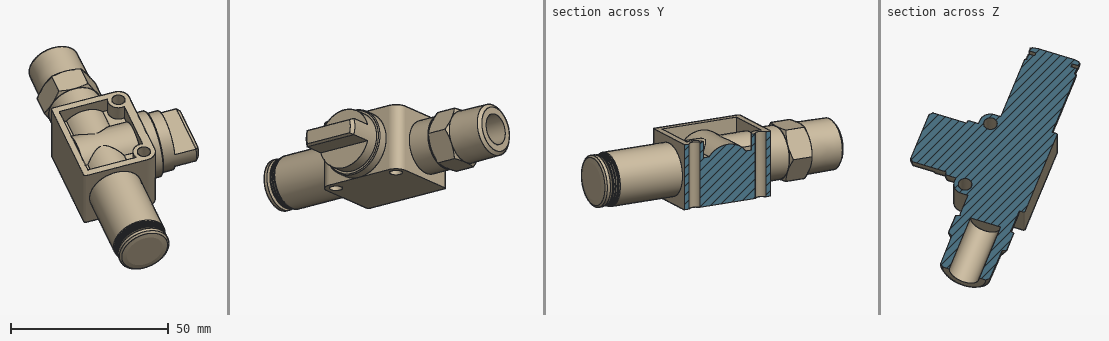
import cadquery as cq
import math


body_length = 31.3
body_height = 21.7
body_back = 14.5
body_front = -10.5
body_depth = body_back - body_front
body_edge_radius = 0.6

hole_diameter = 4.2
hole_x = 12.0
hole_y = 10.9
boss_radius = 3.5
body_corner_radius = body_back - hole_y

pocket_half_length = 13.5
pocket_back = 11.7
pocket_front = -8.5
pocket_floor = 5.6
pocket_depth = body_height / 2 - pocket_floor

passage_diameter = 16.5
stem_diameter = 17.5
stem_front = -7.5
stem_tip_diameter = 14.4

knob_root = 13.05
collar_diameter = body_height
collar_back = 18.1
collar_chamfer = 0.35
knob_diameter = 19.5
knob_shoulder = 22.3
knob_back = 30.45
knob_chamfer = 1.05
blade_thickness = 5.5
blade_chamfer_width = 0.5

half_length = 43.5
tube_diameter = 17.5
tube_end = 38.45
tube_chamfer = 0.3
hex_start = -31.5
hex_end = -23.3
hex_across_flats = 17.05
hex_chamfer_width = 0.7
thread_start_diameter = 16.7
thread_end_diameter = 17.05
thread_nose_diameter = 14.4
thread_chamfer = 1.0
bore_diameter = 10.0

sleeve_diameter = 16.2
sleeve_end = 40.6
rib_diameter = 16.5
rib_width = 0.6
rib_starts = (38.8, 39.7)
neck_diameter = 12.35
ring_start = 41.6
ring_diameter = 16.8
ring_rim_end = 42.7
ring_shoulder_end = 43.2
ring_shoulder_diameter = 15.5
ring_face_diameter = 12.1


def x_cylinder(start, end, diameter):
    return cq.Workplane("YZ", origin=(start, 0, 0)).circle(diameter / 2).extrude(end - start)


def y_cylinder(start, end, diameter):
    return cq.Workplane("XZ", origin=(0, start, 0)).circle(diameter / 2).extrude(start - end)


def x_cone(start, end, start_diameter, end_diameter):
    profile = [(start, 0), (start, start_diameter / 2), (end, end_diameter / 2), (end, 0)]
    return cq.Workplane("XY").polyline(profile).close().revolve(360, (0, 0, 0), (1, 0, 0))


def make_body():
    block = cq.Workplane("XY").box(body_length, body_depth, body_height)
    block = block.translate((0, (body_back + body_front) / 2, 0))
    block = block.edges("|Z and >Y").fillet(body_corner_radius)
    return block.edges("|Z and <Y").fillet(body_edge_radius)


def make_boss(side):
    """Round boss standing on the pocket floor, cut into by the pocket walls."""
    boss = cq.Workplane("XY", origin=(side * hole_x, hole_y, pocket_floor))
    return boss.circle(boss_radius).extrude(pocket_depth)


def make_pocket():
    """Volume removed above the floor, around the bosses and passage walls."""
    pocket = cq.Workplane("XY").box(
        2 * pocket_half_length, pocket_back - pocket_front, pocket_depth, centered=(True, True, False)
    )
    pocket = pocket.translate((0, (pocket_back + pocket_front) / 2, pocket_floor))
    pocket = pocket.cut(x_cylinder(-body_length / 2, body_length / 2, passage_diameter))
    pocket = pocket.cut(y_cylinder(stem_front, body_back, stem_diameter))
    pocket = pocket.cut(y_cylinder(body_front, stem_front, stem_tip_diameter))
    for side in (-1, 1):
        pocket = pocket.cut(make_boss(side))
    return pocket


def make_knob():
    """Collar and round knob with a flat finger blade across the diameter."""
    collar = y_cylinder(0, collar_back, collar_diameter).faces(">Y").chamfer(collar_chamfer)
    base = y_cylinder(0, knob_shoulder, knob_diameter)
    blade = y_cylinder(0, knob_back, knob_diameter).faces(">Y").chamfer(knob_chamfer)
    half_thickness = blade_thickness / 2
    tip_half_thickness = half_thickness - blade_chamfer_width
    outline = [
        (0, -half_thickness),
        (knob_back - knob_chamfer, -half_thickness),
        (knob_back, -tip_half_thickness),
        (knob_back, tip_half_thickness),
        (knob_back - knob_chamfer, half_thickness),
        (0, half_thickness),
    ]
    slab = cq.Workplane("YZ").polyline(outline).close().extrude(knob_diameter / 2, both=True)
    knob = collar.union(base).union(blade.intersect(slab))
    behind = cq.Workplane("XY").box(body_length, knob_back, body_height, centered=(True, False, True))
    return knob.intersect(behind.translate((0, knob_root, 0)))


def make_hexagon():
    """Hexagon with corners on +Y and -Y, chamfered conically at both ends."""
    across_corners = hex_across_flats / math.cos(math.pi / 6)
    hexagon = cq.Workplane("YZ", origin=(hex_start, 0, 0))
    hexagon = hexagon.polygon(6, across_corners).extrude(hex_end - hex_start)
    inner_start = hex_start + hex_chamfer_width
    inner_end = hex_end - hex_chamfer_width
    limit = x_cone(hex_start, inner_start, hex_across_flats, across_corners)
    limit = limit.union(x_cylinder(inner_start, inner_end, across_corners))
    limit = limit.union(x_cone(inner_end, hex_end, across_corners, hex_across_flats))
    return hexagon.intersect(limit)


def make_threaded_end():
    chamfer_end = -half_length + thread_chamfer
    nose = x_cone(-half_length, chamfer_end, thread_nose_diameter, thread_start_diameter)
    taper = x_cone(chamfer_end, hex_start, thread_start_diameter, thread_end_diameter)
    tube = x_cylinder(hex_end, -body_length / 2, tube_diameter).faces("<X").chamfer(tube_chamfer)
    end = nose.union(taper).union(make_hexagon()).union(tube)
    return end.cut(x_cylinder(-half_length, hex_end, bore_diameter))


def make_push_in_end():
    end = x_cylinder(body_length / 2, tube_end, tube_diameter).faces(">X").chamfer(tube_chamfer)
    end = end.union(x_cylinder(tube_end, sleeve_end, sleeve_diameter))
    for start in rib_starts:
        end = end.union(x_cylinder(start, start + rib_width, rib_diameter))
    neck = x_cylinder(sleeve_end, ring_start, neck_diameter)
    ring = x_cylinder(ring_start, ring_rim_end, ring_diameter)
    ring_shoulder = x_cone(ring_rim_end, ring_shoulder_end, ring_diameter, ring_shoulder_diameter)
    ring_tip = x_cone(ring_shoulder_end, half_length, ring_shoulder_diameter, ring_face_diameter)
    return end.union(neck).union(ring).union(ring_shoulder).union(ring_tip)


mounting_holes = (
    cq.Workplane("XY", origin=(0, 0, -body_height / 2))
    .pushPoints([(-hole_x, hole_y), (hole_x, hole_y)])
    .circle(hole_diameter / 2)
    .extrude(body_height)
)

result = make_body().cut(make_pocket()).union(make_knob())
result = result.union(make_threaded_end()).union(make_push_in_end())
result = result.cut(mounting_holes)